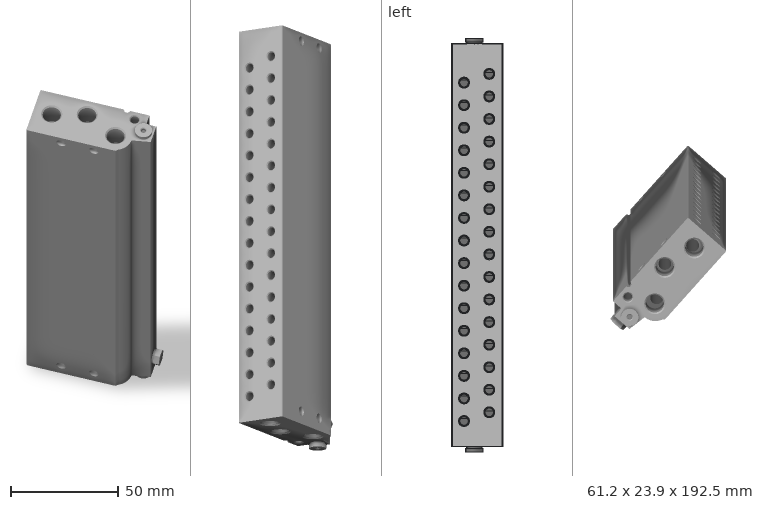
import cadquery as cq
import math

LENGTH = 192.5
PLUG_HEIGHT = 2.5
BODY_BOTTOM = PLUG_HEIGHT
BODY_TOP = LENGTH - PLUG_HEIGHT
BODY_HEIGHT = BODY_TOP - BODY_BOTTOM
BODY_DEPTH = 23.9
OVERALL_WIDTH = 61.2

NOSE_X = 57.5
NOSE_TOP_Y = 18.7
NOSE_BOTTOM_Y = 9.5
STEP_X = 52.7
BULGE_CENTRE = (40.8, 8.0)
BULGE_RADIUS = 7.9
BULGE_START_ANGLE = math.radians(-64)
BULGE_END_ANGLE = math.radians(-2)
BEVEL_START = (43.1, 0.0)
EDGE_CHAMFER = 0.4
GROOVE_LEFT_X = 40.5
GROOVE_RIGHT_X = 43.5
GROOVE_DEPTH = 1.3
GROOVE_SLANT = 0.8

BORE_DIAMETER = 6.0
PORT_DIAMETER = 8.5
PORT_MOUTH_DIAMETER = 9.8
PORT_DEPTH = 11.5
PORT_MOUTH_DEPTH = (PORT_MOUTH_DIAMETER - PORT_DIAMETER) / 2
PORTS = [
    ((8.9, 12.1), (10.0, 12.1)),
    ((24.8, 16.4), (25.0, 16.2)),
    ((40.8, 8.5), (39.7, 8.3)),
]

SMALL_HOLE_DIAMETER = 4.0
SMALL_HOLE_MOUTH_DIAMETER = 5.0
SMALL_HOLE_MOUTH_DEPTH = (SMALL_HOLE_MOUTH_DIAMETER - SMALL_HOLE_DIAMETER) / 2
PILOT_CENTRE = (46.8, 19.8)

OUTLET_COUNT = 16
OUTLET_SPAN = 157.5
OUTLET_PITCH = OUTLET_SPAN / (OUTLET_COUNT - 1)
OUTLET_DEPTH = 7.7
OUTLET_COLUMNS = [
    (6.4, 18.5, 0.5),
    (18.0, 14.5, 1.2),
]

MOUNT_DIAMETER = 4.5
MOUNT_X = [17.0, 32.7]
MOUNT_Z = [BODY_BOTTOM + 6.0, BODY_TOP - 4.0]

PLUG_DIAMETER = 8.0
PLUG_CENTRE = (53.0, 13.3)
COLLAR_DIAMETER = 7.1
COLLAR_HEIGHT = 0.8
SOCKET_DIAMETER = 2.3
SOCKET_DEPTH = 1.5
SOCKET_MOUTH_DIAMETER = 3.0
SOCKET_MOUTH_DEPTH = 0.4
SCREW_FLATS = 7.1
SCREW_CORNERS = SCREW_FLATS / math.cos(math.pi / 6)
SCREW_FACE_DIAMETER = 7.0
SCREW_FACE_HEIGHT = 0.5
SCREW_Y = 14.0
SCREW_Z = 13.0
SCREW_LENGTH = OVERALL_WIDTH - NOSE_X


def countersunk_cutter(diameter, depth, mouth_diameter, mouth_depth):
    """Cutter with its mouth in the XY plane, running along +Z."""
    return (
        cq.Workplane("XZ")
        .moveTo(0, 0)
        .lineTo(mouth_diameter / 2, 0)
        .lineTo(diameter / 2, mouth_depth)
        .lineTo(diameter / 2, depth)
        .lineTo(0, depth)
        .close()
        .revolve(360, (0, 0, 0), (0, 1, 0))
    )


def small_hole_cutter(depth):
    return countersunk_cutter(
        SMALL_HOLE_DIAMETER, depth, SMALL_HOLE_MOUTH_DIAMETER, SMALL_HOLE_MOUTH_DEPTH
    )


def at_both_ends(cutter, centre):
    """The cutter placed in the bottom face and, mirrored, in the top face of the body."""
    x, y = centre
    bottom = cutter.translate((x, y, BODY_BOTTOM))
    top = cutter.mirror("XY").translate((x, y, BODY_TOP))
    return [bottom, top]


def bulge_point(angle):
    x, y = BULGE_CENTRE
    return (x + BULGE_RADIUS * math.cos(angle), y + BULGE_RADIUS * math.sin(angle))


def outlet_cutter(bend_height):
    """Cutter along +X whose flat floor slants deeper at 45 degrees above the bend."""
    radius = SMALL_HOLE_DIAMETER / 2
    slant = radius - bend_height
    deepest = OUTLET_DEPTH + slant
    hole = small_hole_cutter(deepest)
    hole = hole.rotate((0, 0, 0), (0, 1, 0), 90)
    beyond_floor = (
        cq.Workplane("XZ")
        .moveTo(OUTLET_DEPTH, -radius)
        .lineTo(OUTLET_DEPTH, bend_height)
        .lineTo(deepest, radius)
        .lineTo(deepest, -radius)
        .close()
        .extrude(radius, both=True)
    )
    return hole.cut(beyond_floor)


def make_blank():
    middle_angle = (BULGE_START_ANGLE + BULGE_END_ANGLE) / 2
    groove_floor = BODY_DEPTH - GROOVE_DEPTH
    return (
        cq.Workplane("XY", origin=(0, 0, BODY_BOTTOM))
        .moveTo(0, 0)
        .lineTo(*BEVEL_START)
        .lineTo(*bulge_point(BULGE_START_ANGLE))
        .threePointArc(bulge_point(middle_angle), bulge_point(BULGE_END_ANGLE))
        .lineTo(NOSE_X, NOSE_BOTTOM_Y)
        .lineTo(NOSE_X, NOSE_TOP_Y)
        .lineTo(STEP_X, NOSE_TOP_Y)
        .lineTo(STEP_X, BODY_DEPTH)
        .lineTo(GROOVE_RIGHT_X, BODY_DEPTH)
        .lineTo(GROOVE_RIGHT_X - GROOVE_SLANT, groove_floor)
        .lineTo(GROOVE_LEFT_X + GROOVE_SLANT, groove_floor)
        .lineTo(GROOVE_LEFT_X, BODY_DEPTH)
        .lineTo(0, BODY_DEPTH)
        .close()
        .extrude(BODY_HEIGHT)
        .edges("|Z and <X")
        .chamfer(EDGE_CHAMFER)
    )


def make_manifold():
    body = make_blank()

    port = countersunk_cutter(PORT_DIAMETER, PORT_DEPTH, PORT_MOUTH_DIAMETER, PORT_MOUTH_DEPTH)
    for port_centre, bore_centre in PORTS:
        bore = cq.Workplane("XY").center(*bore_centre).circle(BORE_DIAMETER / 2).extrude(LENGTH)
        body = body.cut(bore)
        for cutter in at_both_ends(port, port_centre):
            body = body.cut(cutter)

    pilot = small_hole_cutter(BODY_HEIGHT)
    for cutter in at_both_ends(pilot, PILOT_CENTRE):
        body = body.cut(cutter)

    for y, lowest_z, bend_height in OUTLET_COLUMNS:
        outlet = outlet_cutter(bend_height)
        for i in range(OUTLET_COUNT):
            body = body.cut(outlet.translate((0, y, lowest_z + i * OUTLET_PITCH)))

    mounts = (
        cq.Workplane("XZ")
        .pushPoints([(x, z) for x in MOUNT_X for z in MOUNT_Z])
        .circle(MOUNT_DIAMETER / 2)
        .extrude(-BODY_DEPTH)
    )
    return body.cut(mounts)


def make_plug():
    socket = countersunk_cutter(SOCKET_DIAMETER, SOCKET_DEPTH, SOCKET_MOUTH_DIAMETER, SOCKET_MOUTH_DEPTH)
    collar = cq.Workplane("XY").circle(COLLAR_DIAMETER / 2).extrude(PLUG_HEIGHT)
    head = (
        cq.Workplane("XY", origin=(0, 0, COLLAR_HEIGHT))
        .circle(PLUG_DIAMETER / 2)
        .extrude(PLUG_HEIGHT - COLLAR_HEIGHT)
    )
    return collar.union(head).cut(socket.mirror("XY").translate((0, 0, PLUG_HEIGHT)))


def make_screw():
    base = cq.Workplane("YZ", origin=(NOSE_X, SCREW_Y, SCREW_Z))
    hexagon = base.polygon(6, SCREW_CORNERS).extrude(SCREW_LENGTH)
    round_face = base.circle(SCREW_FACE_DIAMETER / 2).extrude(SCREW_FACE_HEIGHT)
    cone_height = SCREW_LENGTH - SCREW_FACE_HEIGHT
    corner_cone = (
        base.workplane(offset=SCREW_FACE_HEIGHT)
        .circle(SCREW_FACE_DIAMETER / 2)
        .workplane(offset=cone_height)
        .circle(SCREW_FACE_DIAMETER / 2 + cone_height)
        .loft()
    )
    return hexagon.intersect(round_face.union(corner_cone))


manifold = make_manifold()
plug = make_plug()
top_plug = plug.translate((*PLUG_CENTRE, BODY_TOP))
bottom_plug = plug.mirror("XY").translate((*PLUG_CENTRE, BODY_BOTTOM))
screw = make_screw()

result = cq.Compound.makeCompound([manifold.val(), top_plug.val(), bottom_plug.val(), screw.val()])